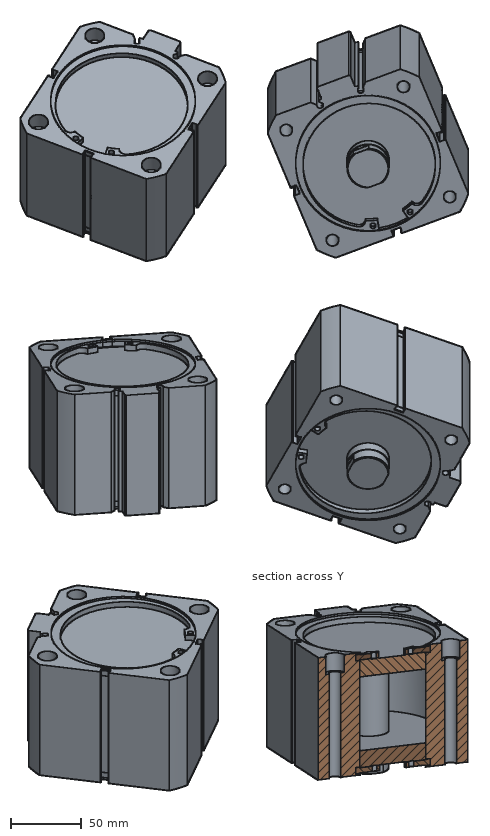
import cadquery as cq
import math

width = 115.0
overall_depth = 124.0
overall_height = 100.0
rod_reach = 9.9
body_height = overall_height - rod_reach
corner_diameter = 148.5

half_width = width / 2
lug_top = overall_depth - half_width
lug_width = 25.3
lug_chamfer = 1.0

bore_radius = 51.0
groove_radius = 52.7
ring_inset = 1.5
ring_thickness = 4.2

slot_opening = 5.2
slot_width = 6.7
slot_lip = 1.0
slot_depth = 4.5
slot_chamfer = 0.5

sensor_radius = 2.1
sensor_x = 15.4
sensor_y = 53.0
sensor_wall_top = 54.2
shoulder_x = 15.0
shoulder_top = 56.7
shoulder_bottom = 55.3
ledge_drop = 0.2

hole_spacing = 88.8
hole_diameter = 8.7
counterbore_diameter = 13.5
counterbore_depth = 13.0

ring_inner_radius = 46.6
ring_inner_offset = 2.2
ear_radius = 43.5
gap_angle = 12.8
ear_angle = 23.8
hollow_radius = 47.7
hollow_angle = 26.7
ring_join_angle = 32.2
ear_hole_diameter = 3.8
ear_hole_radius = 47.4
ear_hole_angle = 17.3
upper_ring_turn = -0.75

cover_thickness = 12.4
collar_diameter = 30.0
collar_height = 1.5
rod_diameter = 29.5
rod_chamfer = 0.6
rod_across_flats = 27.0
flat_start = 2.7

cover_inset = ring_inset + ring_thickness
lower_ring_bottom = ring_inset
upper_ring_bottom = body_height - cover_inset


def polar(radius, angle, side):
    """Point at an angle from the -Y axis, on the -X (side -1) or +X (side 1) half."""
    turn = math.radians(angle)
    return (side * radius * math.sin(turn), -radius * math.cos(turn))


def disc(radius, bottom, height):
    return cq.Workplane("XY").workplane(offset=bottom).circle(radius).extrude(height)


def block(x_size, y_size, height):
    return cq.Workplane("XY").rect(x_size, y_size).extrude(height)


def side_slot():
    """Lipped slot cutter for the -Y side."""
    lip = block(slot_opening, 2 * slot_lip, body_height).translate((0, -half_width, 0))
    channel_depth = slot_depth - slot_lip
    channel_y = -half_width + slot_lip + channel_depth / 2
    channel = block(slot_width, channel_depth, body_height).translate((0, channel_y, 0))
    mouth = (
        cq.Workplane("XY")
        .moveTo(-slot_opening / 2 - slot_chamfer, -half_width)
        .lineTo(slot_opening / 2 + slot_chamfer, -half_width)
        .lineTo(slot_opening / 2, -half_width + slot_chamfer)
        .lineTo(-slot_opening / 2, -half_width + slot_chamfer)
        .close()
        .extrude(body_height)
    )
    return lip.union(channel).union(mouth)


def sensor_groove():
    """Cutter for the round sensor groove on the +X side of the lug."""
    outer_wall = sensor_x + sensor_radius
    flare_x = outer_wall + half_width - sensor_wall_top
    mouth = (
        cq.Workplane("XY")
        .moveTo(sensor_x, sensor_y)
        .lineTo(outer_wall, sensor_y)
        .lineTo(outer_wall, sensor_wall_top)
        .lineTo(flare_x, half_width)
        .lineTo(lug_width / 2, half_width)
        .lineTo(lug_width / 2, half_width - ledge_drop)
        .lineTo(shoulder_x, shoulder_top)
        .lineTo(shoulder_x, shoulder_bottom)
        .lineTo(sensor_x - sensor_radius * math.sin(math.pi / 4),
                sensor_y + sensor_radius * math.cos(math.pi / 4))
        .close()
        .extrude(body_height)
    )
    round_bottom = disc(sensor_radius, 0, body_height).translate((sensor_x, sensor_y, 0))
    return mouth.union(round_bottom)


def make_body():
    body = block(width, width, body_height).intersect(disc(corner_diameter / 2, 0, body_height))

    lug = block(lug_width, lug_top - bore_radius, body_height)
    lug = lug.translate((0, (lug_top + bore_radius) / 2, 0))
    body = body.union(lug.edges("|Z and >Y").chamfer(lug_chamfer))

    groove = sensor_groove()
    body = body.cut(groove).cut(groove.mirror("YZ"))

    for turn in (0, 90, -90):
        body = body.cut(side_slot().rotate((0, 0, 0), (0, 0, 1), turn))

    body = (
        body.faces(">Z").workplane(origin=(0, 0, body_height))
        .rect(hole_spacing, hole_spacing, forConstruction=True)
        .vertices()
        .cboreHole(hole_diameter, counterbore_diameter, counterbore_depth)
    )

    body = body.cut(disc(bore_radius, 0, body_height))
    for bottom in (lower_ring_bottom, upper_ring_bottom):
        body = body.cut(disc(groove_radius, bottom, ring_thickness))
    return body


def ring_join(side):
    x, y = polar(ring_inner_radius, ring_join_angle, side)
    return (x, y - ring_inner_offset)


def make_ring(bottom, turn):
    """Retaining ring with a gap between two ears at -Y, turned about Z."""
    ear_middle = (gap_angle + ear_angle) / 2
    return (
        cq.Workplane("XY").workplane(offset=bottom)
        .moveTo(*polar(groove_radius, gap_angle, -1))
        .threePointArc((0, groove_radius), polar(groove_radius, gap_angle, 1))
        .lineTo(*polar(ear_radius, gap_angle, 1))
        .threePointArc(polar(ear_radius, ear_middle, 1), polar(ear_radius, ear_angle, 1))
        .threePointArc(polar(hollow_radius, hollow_angle, 1), ring_join(1))
        .threePointArc((0, ring_inner_radius - ring_inner_offset), ring_join(-1))
        .threePointArc(polar(hollow_radius, hollow_angle, -1), polar(ear_radius, ear_angle, -1))
        .threePointArc(polar(ear_radius, ear_middle, -1), polar(ear_radius, gap_angle, -1))
        .close()
        .pushPoints([polar(ear_hole_radius, ear_hole_angle, side) for side in (-1, 1)])
        .circle(ear_hole_diameter / 2)
        .extrude(ring_thickness)
        .rotate((0, 0, 0), (0, 0, 1), turn)
    )


def make_head_cover():
    return disc(bore_radius, body_height - cover_inset - cover_thickness, cover_thickness)


def make_rod_cover():
    """Disc in the bore with a collar that reaches just below the body, around the rod."""
    cover = disc(bore_radius, cover_inset, cover_thickness)
    collar = disc(collar_diameter / 2, -collar_height, collar_height + cover_inset)
    rod_hole = disc(rod_diameter / 2, -collar_height, body_height)
    return cover.union(collar).cut(rod_hole)


def flat_cutter():
    """Cutter for the wrench flat on the -Y side, with a 45 degree run-out at its top."""
    flat_y = -rod_across_flats / 2
    outer_y = -rod_diameter
    return (
        cq.Workplane("YZ")
        .moveTo(flat_y, -rod_reach)
        .lineTo(flat_y, -flat_start)
        .lineTo(outer_y, -flat_start + flat_y - outer_y)
        .lineTo(outer_y, -rod_reach)
        .close()
        .extrude(rod_diameter / 2, both=True)
    )


def make_rod():
    """Rod from below the body up to the head cover."""
    rod_top = body_height - cover_inset - cover_thickness
    rod = disc(rod_diameter / 2, -rod_reach, rod_reach + rod_top)
    rod = rod.faces("<Z").chamfer(rod_chamfer)
    flat = flat_cutter()
    return rod.cut(flat).cut(flat.mirror("XZ"))


body = make_body()
rings = [
    make_ring(bottom, turn)
    for bottom, turn in ((lower_ring_bottom, 0), (upper_ring_bottom, upper_ring_turn))
]
head_cover = make_head_cover()
rod_cover = make_rod_cover()
rod = make_rod()

result = cq.Compound.makeCompound(
    [body.val(), *[ring.val() for ring in rings], head_cover.val(), rod_cover.val(), rod.val()]
)